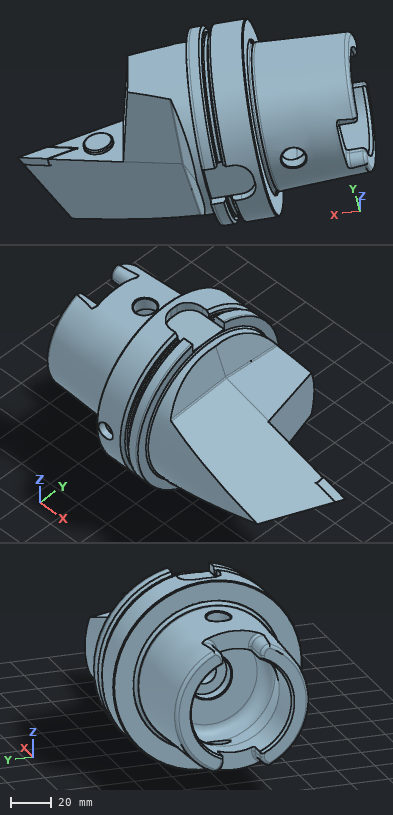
import cadquery as cq
import math


tool_length = 174.9

shank_length = 50.0
taper_front_radius = 35.3
taper_rear_radius = 37.6
taper_end = 47.0
shank_nose_radius = 1.7
relief_start = 48.1
relief_depth = 0.2
face_groove_radius = 39.3
face_groove_depth = 1.0
face_groove_fillet = 1.5

flange_radius = 50.0
flange_end = 78.9
flange_edge_chamfer = 0.5
collar_chamfer_length = 1.4
collar_chamfer_height = 0.2
groove_start = 66.6
groove_floor_start = 68.2
groove_floor_end = 71.4
groove_end = 72.4
groove_floor_radius = 46.0
groove_wall_radius = 48.3
groove_floor_bevel = 0.7

bore_radius = 53.0 / 2
bore_lead_length = 1.7
bore_lead_height = 1.0
undercut_start = 19.5
undercut_radius = 33.5
bore_floor = 47.7
bore_floor_fillet = 6.6
center_hole_radius = 11.5
center_hole_chamfer = 0.5
center_hole_depth = 7.0
drill_point_radius = 12.0 / 2
drill_point_angle = 118.0

drive_slot_width = 19.5
drive_slot_depths = {1: 14.7, -1: 10.0}
drive_pad_corner_radius = 5.2
drive_pad_corner_start = 27.0
drive_pad_corner_sweep = 120.0
drive_slot_floor_fillet = 1.4

cross_hole_x = 34.6
cross_hole_diameter = 12.0
cross_hole_chamfer = 0.5
chip_hole_x = 56.5
chip_hole_diameter = 10.0
chip_hole_depth = 4.5

keyway_width = 22.0
keyway_start = 54.5
keyway_corner_radius = 9.0
keyway_floor = 44.0

neck_radius = 43.4
neck_chamfer = 0.9
nose_angle = 35.0
nose_recess = 18.7
nose_rake = nose_recess / neck_radius
shoulder_slope = 0.42
shoulder_foot = 102.0
shoulder_relief = 0.09
knee_fillet = 1.0
head_end_at_axis = 121.0
head_end_at_side = 109.8
rake_face_y = -0.3

insert_edge = 16.1
insert_thickness = 5.0
screw_x = 133.6
screw_diameter = 15.0
screw_top_y = 1.7
screw_chamfer = 0.7

flange_diameter = 2 * flange_radius
half_nose = math.radians(nose_angle / 2)


def revolve_about_x(points):
    """Solid of revolution from (x, radius) points."""
    return cq.Workplane("XY").polyline(points).close().revolve(360, (0, 0, 0), (1, 0, 0))


def make_shank():
    relief_radius = taper_rear_radius - relief_depth
    groove_floor = shank_length + face_groove_depth
    r = face_groove_fillet
    r45 = r * math.sqrt(0.5)
    return (
        cq.Workplane("XY")
        .polyline([
            (0, 0),
            (0, taper_front_radius),
            (taper_end, taper_rear_radius),
            (relief_start, taper_rear_radius),
            (relief_start + relief_depth, relief_radius),
            (groove_floor - r, relief_radius),
        ])
        .threePointArc((groove_floor - r + r45, relief_radius + r - r45), (groove_floor, relief_radius + r))
        .lineTo(groove_floor, 0)
        .close()
        .revolve(360, (0, 0, 0), (1, 0, 0))
    )


def make_flange():
    groove_floor = shank_length + face_groove_depth
    return revolve_about_x([
        (groove_floor, 0),
        (groove_floor, face_groove_radius),
        (shank_length, face_groove_radius),
        (shank_length, flange_radius - flange_edge_chamfer),
        (shank_length + flange_edge_chamfer, flange_radius),
        (groove_start, flange_radius),
        (groove_floor_start, groove_wall_radius),
        (groove_floor_start, groove_floor_radius + groove_floor_bevel),
        (groove_floor_start + groove_floor_bevel, groove_floor_radius),
        (groove_floor_end - groove_floor_bevel, groove_floor_radius),
        (groove_floor_end, groove_floor_radius + groove_floor_bevel),
        (groove_floor_end, groove_wall_radius),
        (groove_end, flange_radius),
        (flange_end - collar_chamfer_length, flange_radius),
        (flange_end, flange_radius - collar_chamfer_height),
        (flange_end, neck_radius + neck_chamfer),
        (flange_end + neck_chamfer, neck_radius),
        (flange_end + neck_chamfer, 0),
    ])


def make_drive_pad(length):
    """Oversize blank of the +Y drive pad: a rounded corner between the slot wall and the outside."""
    wall_y = drive_slot_width / 2
    r = drive_pad_corner_radius
    center_y = wall_y + r

    def corner_point(degrees):
        turn = math.radians(degrees)
        return center_y - r * math.cos(turn), drive_pad_corner_start + r * math.sin(turn)

    corner_end = corner_point(drive_pad_corner_sweep)
    outside_drop = (flange_radius - corner_end[0]) / -math.tan(math.radians(drive_pad_corner_sweep))
    return (
        cq.Workplane("YZ")
        .moveTo(wall_y, 0)
        .lineTo(wall_y, drive_pad_corner_start)
        .threePointArc(corner_point(drive_pad_corner_sweep / 2), corner_end)
        .lineTo(flange_radius, corner_end[1] - outside_drop)
        .lineTo(flange_radius, 0)
        .close()
        .extrude(length)
        .edges(cq.selectors.NearestToPointSelector((0, wall_y, drive_pad_corner_start / 2)))
        .fillet(shank_nose_radius)
    )


def make_drive_slot(side):
    """Cutter for one drive slot: the space left between two drive pads."""
    depth = drive_slot_depths[side]
    wall_y = drive_slot_width / 2
    pad = make_drive_pad(depth)
    slot = (
        cq.Workplane("YZ").rect(flange_diameter, flange_radius).extrude(depth)
        .translate((0, 0, flange_radius / 2))
        .cut(pad).cut(pad.mirror("XZ"))
    )
    for y in (wall_y, -wall_y):
        floor_corner = cq.selectors.NearestToPointSelector((depth, y, drive_pad_corner_start / 2))
        slot = slot.edges(floor_corner).fillet(drive_slot_floor_fillet)
    return slot if side > 0 else slot.mirror("XY")


def make_bore():
    bore = revolve_about_x([
        (0, 0),
        (0, bore_radius + bore_lead_height),
        (bore_lead_length, bore_radius),
        (undercut_start, bore_radius),
        (bore_floor, undercut_radius),
        (bore_floor, 0),
    ])
    return bore.faces(">X").edges().fillet(bore_floor_fillet)


def make_center_hole():
    point_depth = drill_point_radius / math.tan(math.radians(drill_point_angle / 2))
    center_floor = bore_floor + center_hole_depth
    return revolve_about_x([
        (bore_floor, 0),
        (bore_floor, center_hole_radius + center_hole_chamfer),
        (bore_floor + center_hole_chamfer, center_hole_radius),
        (center_floor, center_hole_radius),
        (center_floor, drill_point_radius),
        (center_floor + point_depth, 0),
    ])


def make_cross_hole():
    return (
        cq.Workplane("XY").center(cross_hole_x, 0)
        .circle(cross_hole_diameter / 2).extrude(flange_radius, both=True)
    )


def chamfer_cross_hole(holder):
    """Chamfer the two mouths of the cross hole on the outside of the taper."""
    for side in (1, -1):
        mouth = cq.selectors.BoxSelector(
            (cross_hole_x - cross_hole_diameter, -cross_hole_diameter, side * undercut_radius),
            (cross_hole_x + cross_hole_diameter, cross_hole_diameter, side * flange_radius),
        )
        holder = holder.edges(mouth).chamfer(cross_hole_chamfer)
    return holder


def make_chip_hole():
    return (
        cq.Workplane("XZ", origin=(chip_hole_x, -flange_radius, 0))
        .circle(chip_hole_diameter / 2).extrude(-chip_hole_depth)
    )


def make_keyway(side):
    length = 2 * (flange_end - keyway_start)
    height = flange_radius
    keyway = (
        cq.Workplane("XY", origin=(flange_end, 0, keyway_floor))
        .rect(length, keyway_width).extrude(height)
        .edges("|Z").fillet(keyway_corner_radius)
    )
    beyond_flange = (
        cq.Workplane("XY", origin=(flange_end, 0, keyway_floor))
        .rect(length, 2 * keyway_width).extrude(height)
        .translate((length / 2, 0, 0))
    )
    keyway = keyway.cut(beyond_flange)
    return keyway if side > 0 else keyway.mirror("XY")


def head_outline(distance):
    """Upper half of the (x, z) outline of the head at a given distance from the y = 0 plane."""
    nose = tool_length - nose_rake * distance
    foot = shoulder_foot - shoulder_relief * distance
    slope = math.tan(half_nose)
    knee_z = slope * (nose - foot) / (1 - slope * shoulder_slope)
    knee_x = foot - shoulder_slope * knee_z
    top_z = flange_radius
    top_x = foot - shoulder_slope * top_z
    return [(flange_end, 0), (flange_end, top_z), (top_x, top_z), (knee_x, knee_z), (nose, 0)]


def make_head():
    quarter = (
        cq.Workplane("XZ").polyline(head_outline(0)).close()
        .workplane(offset=flange_radius).polyline(head_outline(flange_radius)).close()
        .loft(ruled=True)
    )
    knee_x, knee_z = head_outline(flange_radius / 2)[3]
    knee = cq.selectors.NearestToPointSelector((knee_x, -flange_radius / 2, knee_z))
    quarter = quarter.edges(knee).fillet(knee_fillet)
    half = quarter.union(quarter.mirror("XY"))
    barrel = cq.Workplane("YZ", origin=(flange_end, 0, 0)).circle(neck_radius).extrude(tool_length)
    end_slope = (head_end_at_axis - head_end_at_side) / neck_radius
    front_clearance = (
        cq.Workplane("XY", origin=(0, 0, -flange_radius))
        .polyline([
            (head_end_at_axis - end_slope * rake_face_y, rake_face_y),
            (head_end_at_axis - end_slope * flange_radius, flange_radius),
            (2 * tool_length, flange_radius),
            (2 * tool_length, rake_face_y),
        ])
        .close().extrude(flange_diameter)
    )
    return half.union(half.mirror("XZ")).intersect(barrel).cut(front_clearance)


def make_insert():
    half_length = insert_edge * math.cos(half_nose)
    half_width = insert_edge * math.sin(half_nose)
    bottom_scale = 1 - nose_rake * insert_thickness / half_length

    def rhombus(scale):
        return [
            (half_length * scale, 0),
            (0, half_width * scale),
            (-half_length * scale, 0),
            (0, -half_width * scale),
        ]

    return (
        cq.Workplane("XZ", origin=(tool_length - half_length, 0, 0))
        .polyline(rhombus(1)).close()
        .workplane(offset=insert_thickness).polyline(rhombus(bottom_scale)).close()
        .loft(ruled=True)
    )


def make_clamp_screw():
    return (
        cq.Workplane("XZ", origin=(screw_x, rake_face_y, 0))
        .circle(screw_diameter / 2).extrude(rake_face_y - screw_top_y)
        .faces(">Y").chamfer(screw_chamfer)
    )


def make_holder(insert):
    shank = make_shank().faces("<X").edges().fillet(shank_nose_radius)
    for side in (1, -1):
        shank = shank.cut(make_drive_slot(side))
    holder = shank.union(make_flange()).union(make_head())
    holder = holder.cut(make_bore()).cut(make_center_hole())
    holder = chamfer_cross_hole(holder.cut(make_cross_hole()))
    for side in (1, -1):
        holder = holder.cut(make_keyway(side))
    return holder.cut(make_chip_hole()).cut(insert)


insert = make_insert()
clamp_screw = make_clamp_screw()
holder = make_holder(insert)

bodies = [holder, insert, clamp_screw]
result = cq.Compound.makeCompound([body.solids().val() for body in bodies])